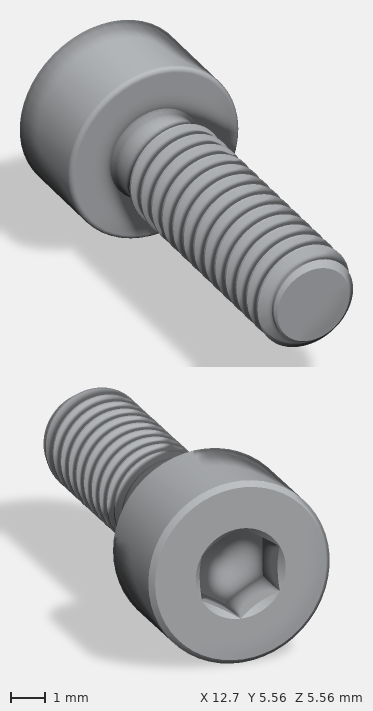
import cadquery as cq
import math

total_length = 12.7
head_length = 3.19
head_diameter = 5.56
head_chamfer = 0.15
head_back_round = 0.14

shank_diameter = 2.8
neck_length = 0.23
neck_flare = 0.08
thread_start = 4.34

pitch = 0.64
thread_diameter = 3.18
thread_depth = 0.35
flank_half_angle = 30.0
crest_width = pitch / 8
crest_at_plus_y = 4.29
tip_chamfer = 0.41

hex_across_flats = 2.39
socket_depth = 1.4
socket_tip_angle = 150.0
socket_lead_angle = 45.0

head_radius = head_diameter / 2
shank_radius = shank_diameter / 2
thread_radius = thread_diameter / 2
hex_corner_radius = hex_across_flats / math.sqrt(3)


def make_head():
    head = cq.Workplane("YZ").circle(head_radius).extrude(head_length)
    head = head.faces("<X").edges().chamfer(head_chamfer)
    return head.faces(">X").edges().fillet(head_back_round)


def make_shank():
    """Plain shank with a concave flare where it meets the head."""
    neck_end = head_length + neck_length
    flare_radius = (neck_length**2 + neck_flare**2) / (2 * neck_flare)
    half_run = neck_length / 2
    half_run_rise = flare_radius - math.sqrt(flare_radius**2 - half_run**2)
    return (
        cq.Workplane("XY")
        .moveTo(head_length, 0)
        .lineTo(head_length, shank_radius + neck_flare)
        .threePointArc((neck_end - half_run, shank_radius + half_run_rise), (neck_end, shank_radius))
        .lineTo(thread_start, shank_radius)
        .lineTo(thread_start, 0)
        .close()
        .revolve(360, (0, 0, 0), (1, 0, 0))
    )


def make_thread_groove():
    """Right-handed V groove that runs past both ends of the thread."""
    overlap = 0.05
    groove_start = crest_at_plus_y - 1.5 * pitch
    groove_length = total_length + 2 * pitch - groove_start
    root_radius = thread_radius - thread_depth
    flank_slope = math.tan(math.radians(flank_half_angle))
    outer_half_width = (pitch - crest_width) / 2 + overlap * flank_slope
    root_half_width = (pitch - crest_width) / 2 - thread_depth * flank_slope
    helix = cq.Wire.makeHelix(
        pitch, groove_length, root_radius, cq.Vector(groove_start, 0, 0), cq.Vector(1, 0, 0)
    )
    start = helix.startPoint()
    radial = cq.Vector(0, start.y, start.z).normalized()
    profile_plane = cq.Plane(origin=start, xDir=(1, 0, 0), normal=cq.Vector(1, 0, 0).cross(radial))
    groove = (
        cq.Workplane(profile_plane)
        .moveTo(-root_half_width, 0)
        .lineTo(root_half_width, 0)
        .lineTo(outer_half_width, thread_depth + overlap)
        .lineTo(-outer_half_width, thread_depth + overlap)
        .close()
        .sweep(cq.Workplane(helix), isFrenet=True)
    )
    start_angle = math.degrees(math.atan2(start.z, start.y))
    return groove.rotate((0, 0, 0), (1, 0, 0), -start_angle)


def make_thread():
    """Threaded rod, cut overlong and then trimmed to the thread's length and tip chamfer."""
    rod_overrun = 1.9
    rod = (
        cq.Workplane("YZ", origin=(thread_start - rod_overrun, 0, 0))
        .circle(thread_radius)
        .extrude(total_length - thread_start + 2 * rod_overrun)
    )
    envelope_margin = 0.13
    envelope = (
        cq.Workplane("YZ", origin=(thread_start, 0, 0))
        .circle(thread_radius + envelope_margin)
        .extrude(total_length - thread_start)
        .faces(">X").edges().chamfer(tip_chamfer + envelope_margin)
    )
    return rod.cut(make_thread_groove()).intersect(envelope)


def make_socket():
    """Hexagonal socket with a drilled cone bottom and a conical lead-in."""
    tip_depth = hex_corner_radius / math.tan(math.radians(socket_tip_angle / 2))
    lead_depth = hex_corner_radius * math.tan(math.radians(socket_lead_angle))
    hexagon = (
        cq.Workplane("YZ")
        .polygon(6, 2 * hex_corner_radius)
        .extrude(socket_depth + tip_depth)
        .rotate((0, 0, 0), (1, 0, 0), 90)
    )
    drill = (
        cq.Workplane("XY")
        .moveTo(0, 0)
        .lineTo(0, hex_corner_radius)
        .lineTo(socket_depth, hex_corner_radius)
        .lineTo(socket_depth + tip_depth, 0)
        .close()
        .revolve(360, (0, 0, 0), (1, 0, 0))
    )
    lead_in = (
        cq.Workplane("XY")
        .polyline([(0, 0), (0, hex_corner_radius), (lead_depth, 0)])
        .close()
        .revolve(360, (0, 0, 0), (1, 0, 0))
    )
    return hexagon.intersect(drill).union(lead_in)


result = make_head().cut(make_socket()).union(make_shank()).union(make_thread())